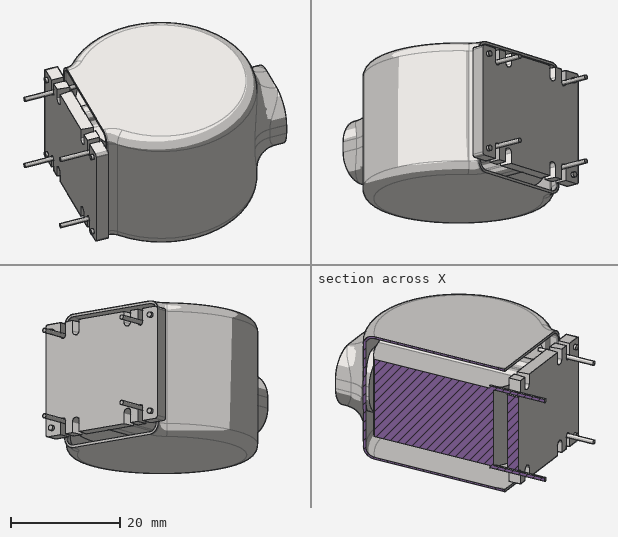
import cadquery as cq
import math

HOUSING_RADIUS = 17.5
HOUSING_HEIGHT = 25.0
RIM_FILLET = 2.0
MOUTH_HALF_WIDTH = 10.9
MOUTH_Y = -14.9
MOUTH_BLEND = 2.0
WALL = 0.5

NECK_WIDTH = 15.0
NECK_HEIGHT = 12.0
NECK_CORNER = 5.0
NECK_END_Y = 21.7
NECK_BLEND = 4.4

COIL_RADIUS = 15.6
COIL_HALF_HEIGHT = 7.9
RIB_HALF_HEIGHT = 10.2
RIB_TOP_HALF_WIDTH = 0.75
JOINT_OVERLAP = 1.0
RIB_ROUND = 1.0

PLATE_WIDTH = 26.0
PLATE_HEIGHT = 21.0
PLATE_BACK_Y = -15.4
PLATE_THICKNESS = 2.4
PLATE_CORNER = 0.5
PLATE_FRONT_Y = PLATE_BACK_Y - PLATE_THICKNESS

PIN_X = 9.0
PIN_Z = 8.0
PIN_RADIUS = 0.4
PIN_TIP_Y = -23.3
PIN_SLOT_RADIUS = 0.55
WIRE_SLOT_X = 6.0
WIRE_SLOT_Z = 8.5
WIRE_SLOT_RADIUS = 0.78
WIRE_SLOT_BACK_RADIUS = 0.5
PEG_X = 11.5
PEG_Z = 9.0
PEG_RADIUS = 0.5
PEG_HEIGHT = 0.5

SIGNS = (-1, 1)


def facing_front(y):
    """Workplane at the given Y, X to the right, Z up, normal toward -Y."""
    return cq.Workplane("XZ", origin=(0, y, 0))


def can(inset):
    """Rounded can, with every wall moved inward by inset except the mouth."""
    radius = HOUSING_RADIUS - inset
    blend = MOUTH_BLEND + inset
    half_width = MOUTH_HALF_WIDTH - inset
    blend_x = half_width + blend
    blend_y = -math.sqrt((radius + blend) ** 2 - blend_x ** 2)
    touch_scale = radius / (radius + blend)
    touch_x = blend_x * touch_scale
    touch_y = blend_y * touch_scale
    mid_angle = (math.pi + math.atan2(-blend_y, -blend_x)) / 2
    mid_x = blend_x + blend * math.cos(mid_angle)
    mid_y = blend_y + blend * math.sin(mid_angle)
    half_height = HOUSING_HEIGHT / 2 - inset
    return (
        cq.Workplane("XY", origin=(0, 0, -half_height))
        .moveTo(-half_width, MOUTH_Y)
        .lineTo(half_width, MOUTH_Y)
        .lineTo(half_width, blend_y)
        .threePointArc((mid_x, mid_y), (touch_x, touch_y))
        .threePointArc((0, radius), (-touch_x, touch_y))
        .threePointArc((-mid_x, mid_y), (-half_width, blend_y))
        .close()
        .extrude(2 * half_height)
        .faces("<Z or >Z")
        .edges("not(<Y)")
        .fillet(RIM_FILLET - inset)
    )


def neck(end_y):
    """Neck bar running from inside the coil's rear wall out to the given Y."""
    start_y = COIL_RADIUS - JOINT_OVERLAP
    return (
        facing_front(end_y)
        .rect(NECK_WIDTH, NECK_HEIGHT)
        .extrude(end_y - start_y)
        .edges("|Y")
        .fillet(NECK_CORNER)
    )


def housing():
    """Thin shell with a filled neck blended onto its rear wall."""
    seam_box = cq.selectors.BoxSelector(
        (-NECK_WIDTH, 0, -NECK_HEIGHT),
        (NECK_WIDTH, HOUSING_RADIUS + WALL, NECK_HEIGHT),
    )
    long_end_y = HOUSING_RADIUS + 2 * NECK_BLEND
    trim = (
        facing_front(long_end_y)
        .rect(2 * HOUSING_RADIUS, HOUSING_HEIGHT)
        .extrude(long_end_y - NECK_END_Y)
    )
    blended = can(0).union(neck(long_end_y)).edges(seam_box).fillet(NECK_BLEND)
    return blended.cut(trim).cut(can(WALL)).union(neck(NECK_END_Y))


def coil():
    """Drum with a round-edged rib across its upper and lower faces."""
    wall_x = RIB_TOP_HALF_WIDTH + RIB_ROUND
    foot_x = wall_x + RIB_ROUND
    drum = cq.Workplane("XY").circle(COIL_RADIUS).extrude(COIL_HALF_HEIGHT, both=True)
    envelope = cq.Workplane("XY").circle(COIL_RADIUS).extrude(RIB_HALF_HEIGHT, both=True)
    round_drop = RIB_ROUND * (1 - math.sqrt(0.5))
    shoulder_z = RIB_HALF_HEIGHT - RIB_ROUND
    foot_z = COIL_HALF_HEIGHT + RIB_ROUND
    upper_rib = (
        facing_front(COIL_RADIUS)
        .moveTo(-foot_x, 0)
        .lineTo(-foot_x, COIL_HALF_HEIGHT)
        .threePointArc((-wall_x - round_drop, COIL_HALF_HEIGHT + round_drop), (-wall_x, foot_z))
        .lineTo(-wall_x, shoulder_z)
        .threePointArc((-wall_x + round_drop, RIB_HALF_HEIGHT - round_drop),
                       (-RIB_TOP_HALF_WIDTH, RIB_HALF_HEIGHT))
        .lineTo(RIB_TOP_HALF_WIDTH, RIB_HALF_HEIGHT)
        .threePointArc((wall_x - round_drop, RIB_HALF_HEIGHT - round_drop), (wall_x, shoulder_z))
        .lineTo(wall_x, foot_z)
        .threePointArc((wall_x + round_drop, COIL_HALF_HEIGHT + round_drop), (foot_x, COIL_HALF_HEIGHT))
        .lineTo(foot_x, 0)
        .close()
        .extrude(2 * COIL_RADIUS)
        .intersect(envelope)
    )
    return drum.union(upper_rib).union(upper_rib.mirror("XY"))


def slot_profile(plane, center_x, center_z, radius):
    """Slot outline with a round inner end, open past the plate's Z edge."""
    side = math.copysign(1, center_z)
    open_z = side * (PLATE_HEIGHT / 2 + radius)
    return (
        plane
        .moveTo(center_x - radius, open_z)
        .lineTo(center_x - radius, center_z)
        .threePointArc((center_x, center_z - side * radius), (center_x + radius, center_z))
        .lineTo(center_x + radius, open_z)
        .close()
    )


def pin_slot(center_x, center_z):
    """Straight slot that clears a pin."""
    back_plane = facing_front(PLATE_BACK_Y)
    return slot_profile(back_plane, center_x, center_z, PIN_SLOT_RADIUS).extrude(PLATE_THICKNESS)


def wire_slot(center_x, center_z):
    """Slot that widens from the plate's back to its front."""
    back = slot_profile(facing_front(PLATE_BACK_Y), center_x, center_z, WIRE_SLOT_BACK_RADIUS)
    front_plane = back.workplane(offset=PLATE_THICKNESS)
    return slot_profile(front_plane, center_x, center_z, WIRE_SLOT_RADIUS).loft(ruled=True)


def base_plate():
    """Slotted plate with a stand-off peg at each corner."""
    plate = (
        facing_front(PLATE_BACK_Y)
        .rect(PLATE_WIDTH, PLATE_HEIGHT)
        .extrude(PLATE_THICKNESS)
        .edges("|Y")
        .fillet(PLATE_CORNER)
    )
    for x_sign in SIGNS:
        for z_sign in SIGNS:
            plate = plate.cut(pin_slot(x_sign * PIN_X, z_sign * PIN_Z))
            plate = plate.cut(wire_slot(x_sign * WIRE_SLOT_X, z_sign * WIRE_SLOT_Z))
    pegs = (
        facing_front(PLATE_FRONT_Y)
        .rect(2 * PEG_X, 2 * PEG_Z, forConstruction=True)
        .vertices()
        .circle(PEG_RADIUS)
        .extrude(PEG_HEIGHT)
    )
    return plate.union(pegs)


def pins():
    """Four pins that pass through their slots and end inside the coil."""
    root_y = JOINT_OVERLAP - math.sqrt(COIL_RADIUS ** 2 - PIN_X ** 2)
    return (
        facing_front(root_y)
        .rect(2 * PIN_X, 2 * PIN_Z, forConstruction=True)
        .vertices()
        .circle(PIN_RADIUS)
        .extrude(root_y - PIN_TIP_Y)
    )


result = housing().union(coil()).union(base_plate()).union(pins())